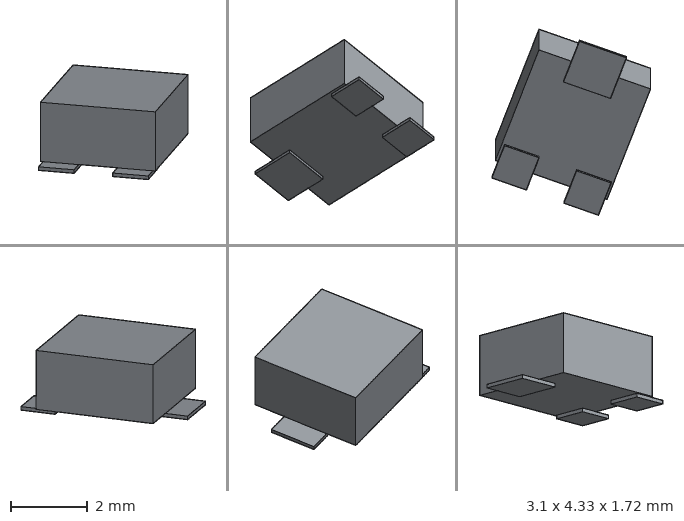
import cadquery as cq

housing_width = 3.1
housing_length = 3.26
total_height = 1.72

lead_thickness = 0.1
rear_lead_width = 1.308
rear_lead_length = 1.195
rear_lead_overhang = 0.62
front_lead_width = 0.96
front_lead_length = 0.953
front_lead_overhang = 0.45
front_lead_inset = 0.07

housing_height = total_height - lead_thickness
front_lead_x = housing_width / 2 - front_lead_inset - front_lead_width / 2
front_lead_y = -housing_length / 2 - front_lead_overhang + front_lead_length / 2
rear_lead_y = housing_length / 2 + rear_lead_overhang - rear_lead_length / 2


def make_housing():
    """Plain block resting on top of the leads."""
    block = cq.Workplane("XY").box(
        housing_width, housing_length, housing_height, centered=(True, True, False)
    )
    return block.translate((0, 0, lead_thickness))


def make_lead(width, length, x, y):
    """Flat plate centred on (x, y), with its underside at Z = 0."""
    plate = cq.Workplane("XY").box(width, length, lead_thickness, centered=(True, True, False))
    return plate.translate((x, y, 0))


housing = make_housing()
rear_lead = make_lead(rear_lead_width, rear_lead_length, 0, rear_lead_y)
front_leads = [
    make_lead(front_lead_width, front_lead_length, side * front_lead_x, front_lead_y)
    for side in (-1, 1)
]

result = cq.Compound.makeCompound(
    [housing.val(), rear_lead.val(), *[lead.val() for lead in front_leads]]
)